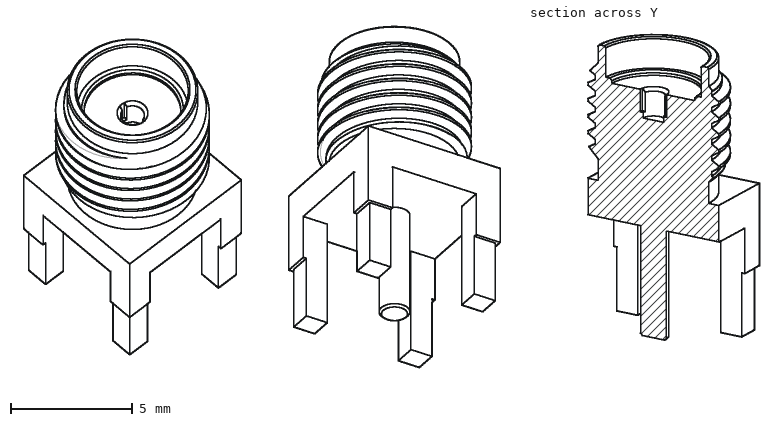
import cadquery as cq
import math

total_height = 12.35
body_width = 6.35
body_top = 6.41
arch_top = 4.79
shoulder_height = 2.8
arch_width = 4.03
leg_setback = 0.15

pin_diameter = 1.27
pin_chamfer = 0.1
contact_bore = 0.98
contact_depth = 1.24
contact_slot_width = 0.26
contact_slot_depth = 0.99

barrel_radius = 5.38 / 2
rim_chamfer = 0.07
bore_radius = 4.6 / 2
shelf_radius = 4.2 / 2
recess_radius = 4.0 / 2
bore_depth = 1.36
recess_depth = 0.21
shelf_z = total_height - bore_depth
floor_z = shelf_z - recess_depth

thread_bottom = 7.34
thread_top = 11.53
thread_pitch = 0.7
thread_crest_radius = body_width / 2
thread_root_radius = 2.83
crest_flat = 0.12
flank_angle = 30.0
first_crest_z = 6.66
thread_turns = 8
groove_overrun = 0.02
end_cone_rise = thread_crest_radius - barrel_radius


def box_between(width_x, width_y, bottom, top):
    return cq.Workplane("XY").workplane(offset=bottom).rect(width_x, width_y).extrude(top - bottom)


def cylinder_between(radius, bottom, top):
    return cq.Workplane("XY").workplane(offset=bottom).circle(radius).extrude(top - bottom)


def revolve_profile(points):
    """Revolve (radius, height) points about the Z axis."""
    return cq.Workplane("XZ").polyline(points).close().revolve(360, (0, 0), (0, 1))


def make_body():
    foot_width = body_width - 2 * leg_setback
    body = box_between(body_width, body_width, shoulder_height, body_top)
    body = body.union(box_between(foot_width, foot_width, 0, shoulder_height))
    body = body.cut(box_between(arch_width, body_width, 0, arch_top))
    return body.cut(box_between(body_width, arch_width, 0, arch_top))


def make_pin():
    return cylinder_between(pin_diameter / 2, 0, body_top).faces("<Z").chamfer(pin_chamfer)


def make_lower_neck():
    return cylinder_between(barrel_radius, body_top, thread_bottom)


def make_rim():
    return cylinder_between(barrel_radius, thread_top, total_height).faces(">Z").chamfer(rim_chamfer)


def make_thread_groove():
    half_pitch = thread_pitch / 2
    flank_slope = math.tan(math.radians(flank_angle))
    outer_radius = thread_crest_radius + groove_overrun
    half_mouth = half_pitch - crest_flat / 2
    half_root = half_mouth - (thread_crest_radius - thread_root_radius) * flank_slope
    half_outer = half_mouth + groove_overrun * flank_slope
    helix = cq.Wire.makeHelix(thread_pitch, thread_pitch * thread_turns, thread_root_radius)
    return (
        cq.Workplane("XZ")
        .polyline([
            (thread_root_radius, -half_root),
            (outer_radius, -half_outer),
            (outer_radius, half_outer),
            (thread_root_radius, half_root),
        ])
        .close()
        .sweep(cq.Workplane(helix), isFrenet=True)
        .rotate((0, 0, 0), (0, 0, 1), 180)
        .translate((0, 0, first_crest_z + half_pitch))
    )


def make_thread():
    blank = revolve_profile([
        (0, thread_bottom),
        (barrel_radius, thread_bottom),
        (thread_crest_radius, thread_bottom + end_cone_rise),
        (thread_crest_radius, thread_top - end_cone_rise),
        (barrel_radius, thread_top),
        (0, thread_top),
    ])
    return blank.cut(make_thread_groove())


def make_bore():
    shelf_bevel = shelf_radius - recess_radius
    return revolve_profile([
        (0, floor_z),
        (recess_radius, floor_z),
        (recess_radius, shelf_z - shelf_bevel),
        (shelf_radius, shelf_z),
        (bore_radius, shelf_z),
        (bore_radius, total_height - rim_chamfer),
        (bore_radius + rim_chamfer, total_height),
        (0, total_height),
    ])


def make_contact_socket():
    pin_radius = pin_diameter / 2
    hole_radius = contact_bore / 2
    countersink_depth = pin_radius - hole_radius
    socket = revolve_profile([
        (0, floor_z - contact_depth),
        (hole_radius, floor_z - contact_depth),
        (hole_radius, floor_z - countersink_depth),
        (pin_radius, floor_z),
        (0, floor_z),
    ])
    slot = box_between(pin_diameter, contact_slot_width, floor_z - contact_slot_depth, floor_z)
    slot = slot.intersect(cylinder_between(pin_radius, 0, total_height))
    return socket.union(slot)


result = make_body().union(make_pin()).union(make_lower_neck())
result = result.union(make_thread()).union(make_rim())
result = result.cut(make_bore()).cut(make_contact_socket())